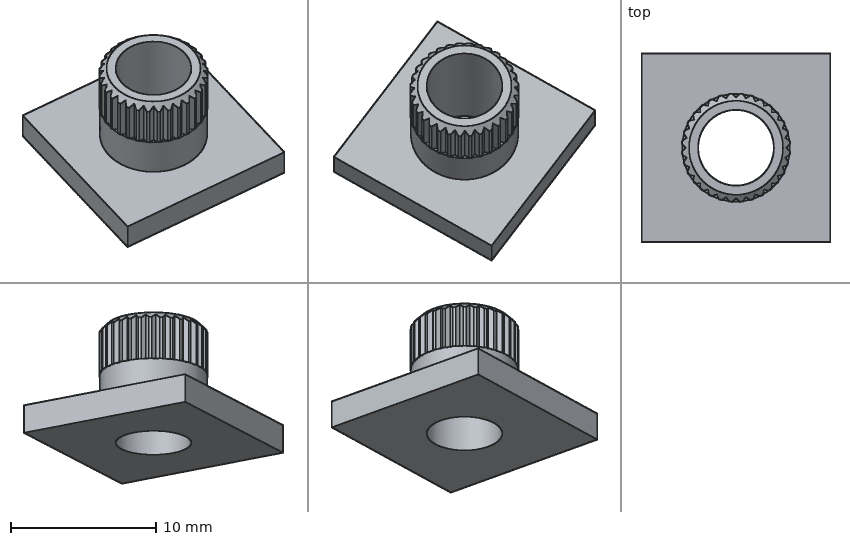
import cadquery as cq
import math

plate_side = 13.0
plate_thickness = 2.0

overall_height = 8.4
sleeve_radius = 3.7
bore_radius = 2.6

knurl_bottom = 4.9
knurl_radius = 3.75
top_chamfer = 0.51

groove_count = 32
groove_depth = 0.27
groove_angle = 90.0


def make_plate():
    return cq.Workplane("XY").box(
        plate_side, plate_side, plate_thickness, centered=(True, True, False)
    )


def make_sleeve():
    return cq.Workplane("XY").circle(sleeve_radius).extrude(knurl_bottom)


def knurl_outline():
    """Closed tooth outline: arcs on the crests, V-grooves between, first groove on +X."""
    root_radius = knurl_radius - groove_depth
    half_angle = math.radians(groove_angle / 2)
    groove_reach = half_angle - math.asin(root_radius * math.sin(half_angle) / knurl_radius)
    pitch = 2 * math.pi / groove_count

    def at(radius, angle):
        return (radius * math.cos(angle), radius * math.sin(angle))

    outline = cq.Workplane("XY", origin=(0, 0, knurl_bottom)).moveTo(root_radius, 0)
    for index in range(groove_count):
        root = index * pitch
        next_root = root + pitch
        outline = outline.lineTo(*at(knurl_radius, root + groove_reach))
        outline = outline.threePointArc(
            at(knurl_radius, root + pitch / 2),
            at(knurl_radius, next_root - groove_reach),
        )
        if index < groove_count - 1:
            outline = outline.lineTo(*at(root_radius, next_root))
    return outline.close()


def make_knurl():
    knurl_height = overall_height - knurl_bottom
    band = knurl_outline().extrude(knurl_height)
    envelope = (
        cq.Workplane("XY", origin=(0, 0, knurl_bottom))
        .circle(knurl_radius)
        .extrude(knurl_height)
        .faces(">Z")
        .chamfer(top_chamfer)
    )
    return band.intersect(envelope)


def make_bore():
    return cq.Workplane("XY").circle(bore_radius).extrude(overall_height)


result = make_plate().union(make_sleeve()).union(make_knurl()).cut(make_bore())